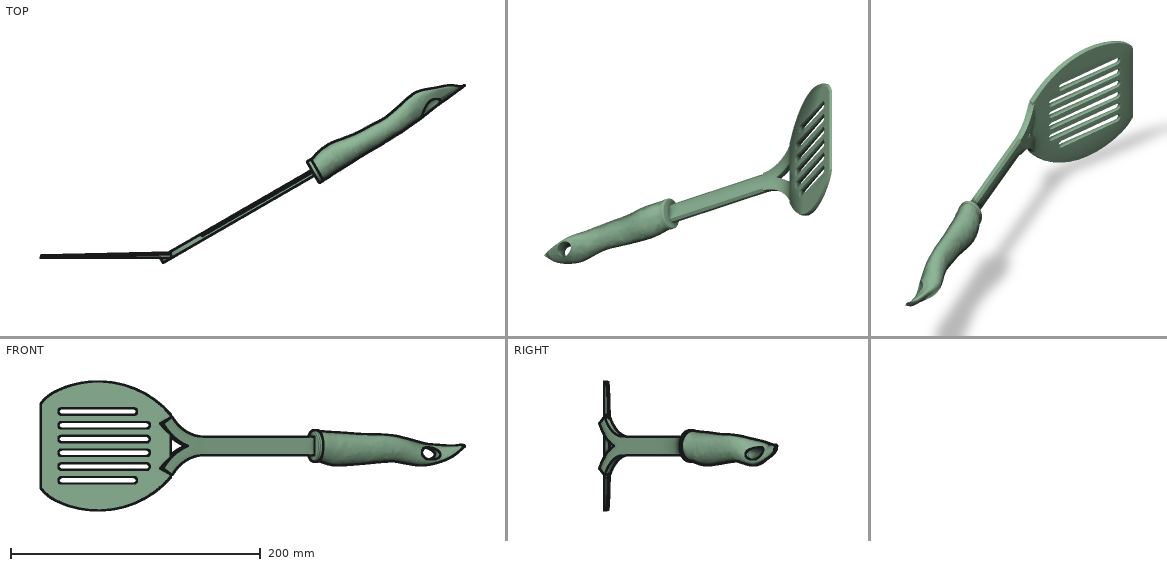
import cadquery as cq
import math


blade_length = 104.2
blade_front = 4.0
blade_tip_thickness = 2.15
blade_root_thickness = 4.5
blade_half_height = 51.715
blade_widest_x = 46.0
blade_side_radius = 77.0
tip_half_height = 33.7
tip_corner_length = 12.0

slot_width = 5.0
slot_pitch = 11.0
slot_start_x = 14.3
long_slot_end_x = 87.2
short_slot_end_x = 77.0
slots_per_side = 3
cut_depth = blade_front + blade_root_thickness

back_bevel_depth = 1.7
back_bevel_inset = 0.7

shaft_angle = 30.0
prong_tip_x = 98.0
shaft_length = 140.0
shaft_width = 15.0
shaft_thickness = 5.0
shaft_edge_bevel = 2.0
prong_width = 10.0
prong_outer_radius = 35.0
prong_sweep = 57.0

collar_length = 4.0
collar_half_depth = 10.0
collar_half_height = 12.7
collar_centre_depth = 2.8
collar_round = 1.0
grip_sections = [
    (144.0, 12.4, -6.8, 12.2, -12.3, 0.0),
    (152.0, 14.9, -6.7, 11.7, -13.9, 0.0),
    (161.0, 16.1, -6.2, 11.2, -15.6, 0.0),
    (172.0, 15.0, -5.9, 10.6, -15.5, 0.0),
    (184.0, 13.1, -5.5, 9.8, -14.6, 0.0),
    (196.0, 12.4, -5.4, 9.5, -13.6, 0.0),
    (208.0, 12.1, -5.2, 9.1, -12.6, 0.0),
    (218.0, 12.8, -4.7, 8.1, -12.7, 0.05),
    (228.0, 14.8, -3.8, 6.3, -14.4, 0.15),
    (237.0, 16.8, -2.9, 4.6, -15.6, 0.35),
    (245.0, 17.0, -1.7, 2.9, -15.5, 0.5),
    (254.0, 14.4, -0.5, 1.5, -13.6, 0.7),
    (263.0, 11.2, 0.3, 0.8, -10.8, 0.75),
    (272.0, 7.2, 1.3, 0.4, -6.2, 0.75),
    (280.0, 2.8, 2.2, 0.2, -0.4, 0.75),
]
section_points = 16
hang_hole_position = 247.5
hang_hole_length = 19.0
hang_hole_height = 10.0
hang_hole_z = -6.0
hang_hole_reach = 40.0

lean = math.radians(shaft_angle)
along_shaft = cq.Vector(math.cos(lean), math.sin(lean), 0)
shaft_back = cq.Vector(-math.sin(lean), math.cos(lean), 0)
prong_tip = cq.Vector(prong_tip_x, 0, 0)
shaft_plane = cq.Plane(origin=prong_tip, xDir=along_shaft, normal=shaft_back * -1)


def section_plane(distance):
    """Plane across the shaft: x points to the back, y is global Z."""
    return cq.Plane(origin=prong_tip + along_shaft * distance, xDir=shaft_back, normal=along_shaft)


def make_half_blade():
    """Upper half of the plain blade, from the centre line up."""
    circle_z = blade_half_height - blade_side_radius

    def side_z(x):
        return circle_z + math.sqrt(blade_side_radius**2 - (x - blade_widest_x) ** 2)

    outline = (
        cq.Workplane("XZ")
        .moveTo(0, 0)
        .lineTo(blade_length, 0)
        .lineTo(blade_length, side_z(blade_length))
        .threePointArc((blade_widest_x, blade_half_height), (tip_corner_length, side_z(tip_corner_length)))
        .tangentArcPoint((0, tip_half_height), relative=False)
        .close()
        .extrude(-cut_depth)
    )
    wedge = (
        cq.Workplane("XY")
        .polyline(
            [
                (0, blade_front),
                (blade_length, blade_front),
                (blade_length, blade_front + blade_root_thickness),
                (0, blade_front + blade_tip_thickness),
            ]
        )
        .close()
        .extrude(blade_half_height)
    )
    return outline.intersect(wedge)


def make_slot(z, end_x):
    length = end_x - slot_start_x
    return (
        cq.Workplane("XZ")
        .center(slot_start_x + length / 2, z)
        .slot2D(length, slot_width)
        .extrude(-cut_depth)
    )


def back_face(body):
    """The large face of the blade that looks to the back."""
    return max(body.faces().vals(), key=lambda face: face.normalAt().y * face.Area())


def make_blade():
    half = make_half_blade()
    for row in range(slots_per_side):
        outermost = row == slots_per_side - 1
        end_x = short_slot_end_x if outermost else long_slot_end_x
        half = half.cut(make_slot((row + 0.5) * slot_pitch, end_x))
    half = half.newObject([back_face(half)]).edges("not <Z").chamfer(back_bevel_inset, back_bevel_depth)
    return half.union(half.mirror("XY"))


def make_shaft():
    half_width = shaft_width / 2
    inner_radius = prong_outer_radius + prong_width
    centre_z = half_width + prong_outer_radius
    centre_s = inner_radius * math.sin(math.radians(prong_sweep))

    def on_arc(radius, sweep):
        turn = math.radians(sweep)
        return (centre_s - radius * math.sin(turn), centre_z - radius * math.cos(turn))

    crotch_sweep = math.degrees(math.acos(centre_z / inner_radius))
    mid_inner_sweep = (prong_sweep + crotch_sweep) / 2
    upper_half = (
        cq.Workplane(shaft_plane)
        .moveTo(*on_arc(inner_radius, crotch_sweep))
        .threePointArc(on_arc(inner_radius, mid_inner_sweep), on_arc(inner_radius, prong_sweep))
        .lineTo(*on_arc(prong_outer_radius, prong_sweep))
        .threePointArc(on_arc(prong_outer_radius, prong_sweep / 2), on_arc(prong_outer_radius, 0))
        .lineTo(shaft_length, half_width)
        .lineTo(shaft_length, 0)
        .close()
        .extrude(-shaft_thickness)
    )
    shaft = upper_half.union(upper_half.mirror("XY"))
    for side in (1, -1):
        bevel = (
            cq.Workplane(section_plane(centre_s))
            .polyline(
                [
                    (shaft_thickness, side * half_width),
                    (shaft_thickness - shaft_edge_bevel, side * half_width),
                    (shaft_thickness, side * (half_width - shaft_edge_bevel)),
                ]
            )
            .close()
            .extrude(shaft_length - centre_s)
        )
        shaft = shaft.cut(bevel)
    return shaft


def make_turner():
    return make_blade().union(make_shaft())


def make_grip_section(distance, back, front, top, bottom, lean_ratio):
    """Closed outline of one grip section, starting at its underside."""
    phase = math.asin(lean_ratio)
    points = []
    for index in range(section_points):
        turn = 2 * math.pi * index / section_points - math.pi / 2
        depth = (back + front) / 2 + (back - front) / 2 * math.cos(turn)
        height = (top + bottom) / 2 + (top - bottom) / 2 * math.sin(turn + phase)
        points.append((depth, height))
    return cq.Workplane(section_plane(distance)).spline(points, periodic=True).wire().val()


def make_grip():
    wires = [make_grip_section(*section) for section in grip_sections]
    return cq.Workplane(cq.Solid.makeLoft(wires))


def make_handle():
    collar = (
        cq.Workplane(section_plane(shaft_length))
        .center(collar_centre_depth, 0)
        .ellipse(collar_half_depth, collar_half_height)
        .extrude(collar_length)
        .faces("<X")
        .edges()
        .fillet(collar_round)
    )
    hang_hole = (
        cq.Workplane(shaft_plane)
        .center(hang_hole_position, hang_hole_z)
        .ellipse(hang_hole_length / 2, hang_hole_height / 2)
        .extrude(hang_hole_reach, both=True)
    )
    return collar.union(make_grip()).cut(hang_hole)


turner = make_turner()
handle = make_handle()

result = cq.Compound.makeCompound([turner.solids().val(), handle.solids().val()])